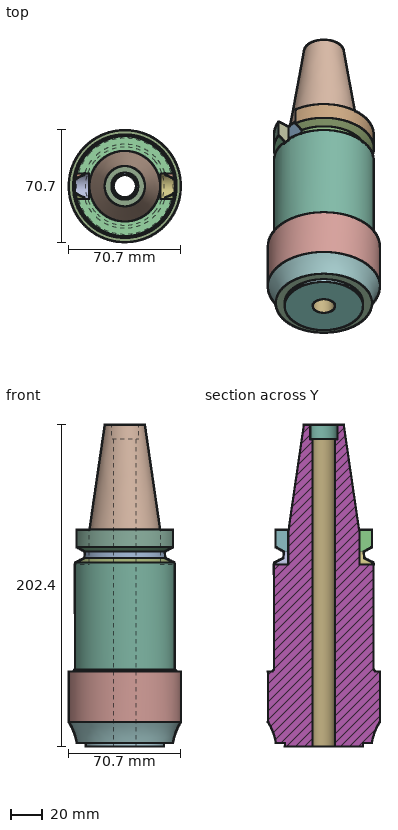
import cadquery as cq
import math

GAUGE_DIAMETER = 44.45
TAPER_RATIO = 7 / 24
TAPER_LENGTH = 65.4
PROJECTION = 137.0

FLANGE_DIAMETER = 63.0
FLANGE_FACE_GAP = 0.6
GROOVE_FLOOR_DIAMETER = 53.0
GROOVE_CENTRE_DEPTH = 16.4
GROOVE_FLOOR_WIDTH = 4.0
GROOVE_FLANK_ANGLE = 30.0

SLOT_WIDTH = 16.1
SLOT_FLAT_OFFSET = 22.5
SLOT_DEPTH = 22.4

NUT_DIAMETER = 70.7
NUT_TOP_DEPTH = 89.7
COLLAR_DIAMETER = 65.2
COLLAR_HEIGHT = 1.3
NUT_STRAIGHT_LENGTH = 31.7
NOSE_DIAMETER = 60.6
NOSE_SAG = 0.7
LIP_DIAMETER = 49.4
LIP_HEIGHT = 2.2

BORE_DIAMETER = 14.0
COUNTERBORE_DIAMETER = 17.0
COUNTERBORE_DEPTH = 9.0


def make_body():
    """Revolve the outer profile about the spindle axis."""
    gauge_radius = GAUGE_DIAMETER / 2
    taper_tip_radius = gauge_radius - TAPER_RATIO * TAPER_LENGTH / 2
    flange_radius = FLANGE_DIAMETER / 2
    groove_radius = GROOVE_FLOOR_DIAMETER / 2
    nut_radius = NUT_DIAMETER / 2
    nose_radius = NOSE_DIAMETER / 2

    groove_floor_half = GROOVE_FLOOR_WIDTH / 2
    flank_height = (flange_radius - groove_radius) * math.tan(math.radians(GROOVE_FLANK_ANGLE))
    groove_mouth_half = groove_floor_half + flank_height

    nut_top = -NUT_TOP_DEPTH
    nose_top = nut_top - NUT_STRAIGHT_LENGTH
    nose_bottom = LIP_HEIGHT - PROJECTION

    chord_run = nut_radius - nose_radius
    chord_drop = nose_top - nose_bottom
    chord_length = math.hypot(chord_run, chord_drop)
    nose_middle = (
        (nut_radius + nose_radius) / 2 - NOSE_SAG * chord_drop / chord_length,
        (nose_top + nose_bottom) / 2 + NOSE_SAG * chord_run / chord_length,
    )

    profile = (
        cq.Workplane("XZ")
        .moveTo(0, TAPER_LENGTH)
        .lineTo(taper_tip_radius, TAPER_LENGTH)
        .lineTo(gauge_radius, 0)
        .lineTo(gauge_radius, -FLANGE_FACE_GAP)
        .lineTo(flange_radius, -FLANGE_FACE_GAP)
        .lineTo(flange_radius, -GROOVE_CENTRE_DEPTH + groove_mouth_half)
        .lineTo(groove_radius, -GROOVE_CENTRE_DEPTH + groove_floor_half)
        .lineTo(groove_radius, -GROOVE_CENTRE_DEPTH - groove_floor_half)
        .lineTo(flange_radius, -GROOVE_CENTRE_DEPTH - groove_mouth_half)
        .lineTo(flange_radius, nut_top + COLLAR_HEIGHT)
        .lineTo(COLLAR_DIAMETER / 2, nut_top)
        .lineTo(nut_radius, nut_top)
        .lineTo(nut_radius, nose_top)
        .threePointArc(nose_middle, (nose_radius, nose_bottom))
        .lineTo(LIP_DIAMETER / 2, nose_bottom)
        .lineTo(LIP_DIAMETER / 2, -PROJECTION)
        .lineTo(0, -PROJECTION)
        .close()
    )
    return profile.revolve(360, (0, 0, 0), (0, 1, 0))


def make_drive_slot(side):
    """Round-ended slot, open upwards and outwards; side is +1 for +X and -1 for -X."""
    half_width = SLOT_WIDTH / 2
    round_centre = half_width - SLOT_DEPTH
    radial_length = NUT_DIAMETER / 2 - SLOT_FLAT_OFFSET
    return (
        cq.Workplane("YZ", origin=(side * SLOT_FLAT_OFFSET, 0, 0))
        .moveTo(-half_width, 0)
        .lineTo(-half_width, round_centre)
        .threePointArc((0, -SLOT_DEPTH), (half_width, round_centre))
        .lineTo(half_width, 0)
        .close()
        .extrude(side * radial_length)
    )


def make_bore():
    """Through bore with a counterbore at the small end of the taper."""
    bore = (
        cq.Workplane("XY", origin=(0, 0, -PROJECTION))
        .circle(BORE_DIAMETER / 2)
        .extrude(PROJECTION + TAPER_LENGTH)
    )
    counterbore = (
        cq.Workplane("XY", origin=(0, 0, TAPER_LENGTH - COUNTERBORE_DEPTH))
        .circle(COUNTERBORE_DIAMETER / 2)
        .extrude(COUNTERBORE_DEPTH)
    )
    return bore.union(counterbore)


result = make_body()
for slot_side in (-1, 1):
    result = result.cut(make_drive_slot(slot_side))
result = result.cut(make_bore())